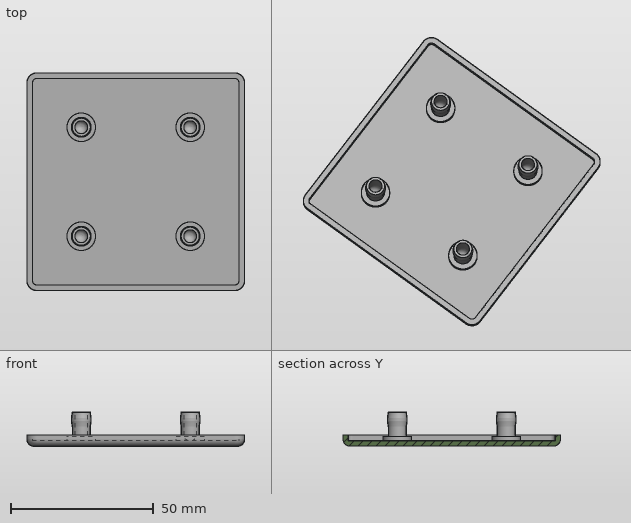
import cadquery as cq
import math

side = 76.2
tray_height = 4.05
wall = 2.0
floor_thickness = 2.0
corner_radius = 3.5
bottom_round = 2.5

stud_spacing = side / 2
stud_top = 12.0
stud_diameter = 6.3
bead_diameter = 6.9
bead_taper_start = 6.85
bead_bottom = 8.8
bead_top = 9.75
flange_diameter = 10.0
flange_top = 3.5

bore_diameter = 4.5
bore_bottom = floor_thickness
bore_round = 2.0


def rounded_square(size, radius, height):
    return cq.Workplane("XY").rect(size, size).extrude(height).edges("|Z").fillet(radius)


def make_tray():
    outer = rounded_square(side, corner_radius, tray_height).faces("<Z").edges().fillet(bottom_round)
    cavity = rounded_square(side - 2 * wall, corner_radius - wall, tray_height)
    return outer.cut(cavity.translate((0, 0, floor_thickness)))


def make_stud():
    """Revolve the flange, beaded shank and bore as one half section."""
    stud_radius = stud_diameter / 2
    bead_radius = bead_diameter / 2
    flange_radius = flange_diameter / 2
    bore_radius = bore_diameter / 2
    round_offset = bore_round * math.sqrt(0.5)
    round_center_x = bore_radius - bore_round
    round_center_z = bore_bottom + bore_round
    flange_base = floor_thickness / 2
    section = [
        (0, flange_base),
        (flange_radius, flange_base),
        (flange_radius, flange_top),
        (stud_radius, flange_top),
        (stud_radius, bead_taper_start),
        (bead_radius, bead_bottom),
        (bead_radius, bead_top),
        (stud_radius, stud_top),
        (bore_radius, stud_top),
        (bore_radius, round_center_z),
    ]
    half_section = (
        cq.Workplane("XZ")
        .polyline(section)
        .threePointArc(
            (round_center_x + round_offset, round_center_z - round_offset),
            (round_center_x, bore_bottom),
        )
        .lineTo(0, bore_bottom)
        .close()
    )
    return half_section.revolve(360, (0, 0, 0), (0, 1, 0))


result = make_tray()
stud = make_stud()
for x in (-stud_spacing / 2, stud_spacing / 2):
    for y in (-stud_spacing / 2, stud_spacing / 2):
        result = result.union(stud.translate((x, y, 0)))